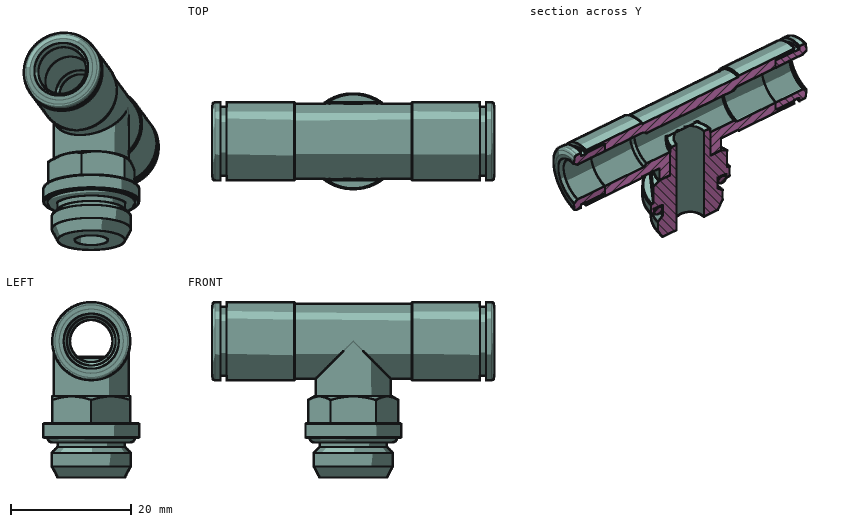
import cadquery as cq
import math

LENGTH = 47.0
RUN_DIA = 12.5
SLEEVE_DIA = 13.0
SLEEVE_INNER_X = 9.7
SLEEVE_CHAMFER = 0.15
PASSAGE_DIA = 7.0
TUBE_DIA = 8.1
TUBE_SEAT_X = 9.4

COLLET_GAP = 1.0
RIM_WIDTH = 1.45
RIM_ROUND = 0.45
RIM_FACE_DIA = 10.65
FACE_CONE_DEPTH = 0.1
COLLET_NECK_DIA = 11.5
COLLET_INSERT = 3.75
MOUTH_DIA = 9.15
MOUTH_DEPTH = 0.7
SLEEVE_END_X = LENGTH / 2 - RIM_WIDTH - COLLET_GAP
COLLET_INNER_X = SLEEVE_END_X - COLLET_INSERT

TOTAL_HEIGHT = 29.2
STUD_BOTTOM = SLEEVE_DIA / 2 - TOTAL_HEIGHT
THREAD_DIA = 13.15
NECK_DIA = 11.2
LEAD_IN_HEIGHT = 1.9
THREAD_HEIGHT = 2.25
RUNOUT_HEIGHT = 1.0
THREAD_LOW = STUD_BOTTOM + LEAD_IN_HEIGHT
THREAD_TOP = THREAD_LOW + THREAD_HEIGHT
NECK_LOW = THREAD_TOP + RUNOUT_HEIGHT
FLANGE_DIA = 16.0
FLANGE_LOW = STUD_BOTTOM + 6.6
FLANGE_HEIGHT = 2.5
FLANGE_TOP = FLANGE_LOW + FLANGE_HEIGHT
FLANGE_CHAMFER = 0.2
HEX_FLATS = 13.0
HEX_HEIGHT = 4.5
HEX_TOP = FLANGE_TOP + HEX_HEIGHT
HEX_CHAMFER_DIA = 12.7
HEX_CHAMFER_ANGLE = 30.0
SPIGOT_DIA = 8.2
SPIGOT_TOP = -2.55
SPIGOT_CHAMFER = 0.3
STUD_BORE_DIA = 5.5

SEAL_SECTION_DIA = 1.7
SEAL_BOTTOM = STUD_BOTTOM + 5.85
SEAL_CENTRE_Z = SEAL_BOTTOM + SEAL_SECTION_DIA / 2
SEAL_CENTRE_RADIUS = (NECK_DIA + SEAL_SECTION_DIA) / 2
SEAL_OUTER_DIA = NECK_DIA + 2 * SEAL_SECTION_DIA


def rod_x(diameter, start, end):
    """Cylinder on the X axis between two X positions."""
    return cq.Workplane("YZ", origin=(start, 0, 0)).circle(diameter / 2).extrude(end - start)


def rod_z(diameter, bottom, top):
    """Cylinder on the Z axis between two heights."""
    return cq.Workplane("XY", origin=(0, 0, bottom)).circle(diameter / 2).extrude(top - bottom)


def mirrored_in_x(shape):
    return shape.mirror("YZ")


def make_housing():
    run = rod_x(RUN_DIA, -SLEEVE_END_X, SLEEVE_END_X)
    branch = rod_z(RUN_DIA, HEX_TOP, 0)
    sleeve = rod_x(SLEEVE_DIA, SLEEVE_INNER_X, SLEEVE_END_X).faces("<X").chamfer(SLEEVE_CHAMFER)
    body = run.union(branch).union(sleeve).union(mirrored_in_x(sleeve))

    body = body.cut(rod_x(PASSAGE_DIA, -SLEEVE_END_X, SLEEVE_END_X))
    seat_depth = (TUBE_DIA - PASSAGE_DIA) / 2
    tube_bore = rod_x(TUBE_DIA, TUBE_SEAT_X - seat_depth, SLEEVE_END_X)
    tube_bore = tube_bore.faces("<X").chamfer(seat_depth)
    collet_recess = rod_x(COLLET_NECK_DIA, COLLET_INNER_X, SLEEVE_END_X)
    end_bore = tube_bore.union(collet_recess)
    body = body.cut(end_bore).cut(mirrored_in_x(end_bore))
    return body.cut(rod_z(SPIGOT_DIA, HEX_TOP, SPIGOT_TOP))


def make_collet():
    """Release collet at the +X end, revolved about the X axis."""
    end_x = LENGTH / 2
    cone_x = end_x - FACE_CONE_DEPTH
    rim_radius = SLEEVE_DIA / 2
    round_drop = RIM_ROUND * math.sqrt(0.5)
    round_x = cone_x - RIM_ROUND
    round_radius = rim_radius - RIM_ROUND
    profile = (
        cq.Workplane("XY")
        .moveTo(COLLET_INNER_X, TUBE_DIA / 2)
        .lineTo(end_x - MOUTH_DEPTH, TUBE_DIA / 2)
        .lineTo(end_x, MOUTH_DIA / 2)
        .lineTo(end_x, RIM_FACE_DIA / 2)
        .lineTo(cone_x, round_radius)
        .threePointArc((round_x + round_drop, round_radius + round_drop), (round_x, rim_radius))
        .lineTo(end_x - RIM_WIDTH, rim_radius)
        .lineTo(end_x - RIM_WIDTH, COLLET_NECK_DIA / 2)
        .lineTo(COLLET_INNER_X, COLLET_NECK_DIA / 2)
        .close()
    )
    return profile.revolve(360, (0, 0, 0), (1, 0, 0))


def make_hexagon():
    """Hexagon with corners on the X axis and a conical chamfer on its top corners."""
    corner_dia = HEX_FLATS / math.cos(math.radians(30))
    prism = (
        cq.Workplane("XY", origin=(0, 0, FLANGE_TOP))
        .polygon(6, corner_dia)
        .extrude(HEX_HEIGHT)
    )
    corner_drop = (corner_dia - HEX_CHAMFER_DIA) / 2 * math.tan(math.radians(HEX_CHAMFER_ANGLE))
    envelope = (
        cq.Workplane("XZ")
        .moveTo(0, FLANGE_TOP)
        .lineTo(corner_dia / 2, FLANGE_TOP)
        .lineTo(corner_dia / 2, HEX_TOP - corner_drop)
        .lineTo(HEX_CHAMFER_DIA / 2, HEX_TOP)
        .lineTo(0, HEX_TOP)
        .close()
        .revolve(360, (0, 0, 0), (0, 1, 0))
    )
    return prism.intersect(envelope)


def make_stud():
    thread = (
        cq.Workplane("XZ")
        .moveTo(0, STUD_BOTTOM)
        .lineTo(NECK_DIA / 2, STUD_BOTTOM)
        .lineTo(THREAD_DIA / 2, THREAD_LOW)
        .lineTo(THREAD_DIA / 2, THREAD_TOP)
        .lineTo(NECK_DIA / 2, NECK_LOW)
        .lineTo(NECK_DIA / 2, FLANGE_TOP)
        .lineTo(0, FLANGE_TOP)
        .close()
        .revolve(360, (0, 0, 0), (0, 1, 0))
    )
    flange = rod_z(FLANGE_DIA, FLANGE_LOW, FLANGE_TOP).edges().chamfer(FLANGE_CHAMFER)
    seal_groove = rod_z(SEAL_OUTER_DIA, FLANGE_LOW, SEAL_CENTRE_Z + SEAL_SECTION_DIA / 2)
    spigot = rod_z(SPIGOT_DIA, FLANGE_TOP, SPIGOT_TOP).faces(">Z").chamfer(SPIGOT_CHAMFER)
    body = flange.cut(seal_groove).union(thread).union(make_hexagon()).union(spigot)
    return body.cut(rod_z(STUD_BORE_DIA, STUD_BOTTOM, SPIGOT_TOP))


def make_seal():
    return (
        cq.Workplane("XZ")
        .center(SEAL_CENTRE_RADIUS, SEAL_CENTRE_Z)
        .circle(SEAL_SECTION_DIA / 2)
        .revolve(360, (-SEAL_CENTRE_RADIUS, 0, 0), (-SEAL_CENTRE_RADIUS, 1, 0))
    )


housing = make_housing()
stud = make_stud()
seal = make_seal()
collets = []
for turn in (0, 180):
    collets.append(make_collet().rotate((0, 0, 0), (0, 0, 1), turn))

result = cq.Compound.makeCompound(
    [housing.solids().val(), stud.solids().val(), seal.val(), *[collet.val() for collet in collets]]
)